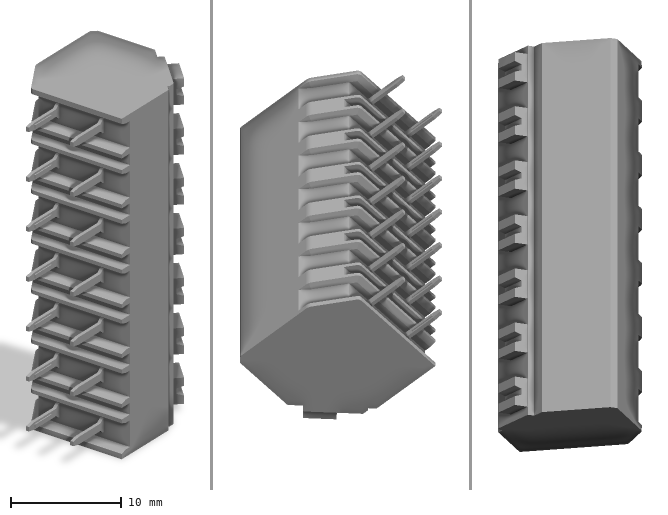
import cadquery as cq
import math

width = 12.7
depth = 12.9
height = 34.68
back_chamfer = 0.52
slope_x = 2.45
slope_y = 4.05
wall_fillet = 1.05
rim_fillet = 0.52
front_chamfer = 5.72

panel_start = 1.42
panel_rise = 0.65
panel_side_gap = 0.38
panel_lip = 0.25

pole_count = 7
pole_pitch = 5.08
core_slope_x = 2.43
core_y = 1.25
core_wall_y = 5.25
pocket_height = 3.12
bevel_width = 0.62
bevel_height = 0.2
groove_height = 1.18

button_length = 3.05
button_offset = 0.07
button_rise = 1.32
button_height = 2.67
notch_mouth = 1.0
notch_floor = 0.55
notch_depth = 0.7

pin_middle_x = 7.1
pin_spacing = 5.0
pin_thickness = 0.35
pin_width = 0.75
pin_root_width = 1.42
pin_root_y = 1.08
pin_neck_y = 0.7
pin_taper_y = -2.65
pin_tip_y = -3.47
pin_tip_width = 0.45
bead_height = 0.35
bead_root_y = -0.1
bead_thickness = 0.1

pole_heights = [(i - (pole_count - 1) / 2) * pole_pitch for i in range(pole_count)]
rib_heights = [(i - pole_count / 2) * pole_pitch for i in range(pole_count + 1)]

diagonal = math.sqrt(0.5)
chamfer_sum = width + depth - front_chamfer
panel_foot = (width - front_chamfer + panel_start * diagonal, depth - panel_start * diagonal)
panel_edge = (panel_foot[0] + panel_rise * diagonal, panel_foot[1] + panel_rise * diagonal)
panel_side_x = width - panel_side_gap
panel_side_y = sum(panel_edge) - panel_side_x
lip_foot_x = panel_side_x - panel_lip * diagonal
lip_foot_y = chamfer_sum - lip_foot_x

upper_outline = [
    (width, depth - front_chamfer),
    (lip_foot_x, lip_foot_y),
    (panel_side_x, lip_foot_y + panel_lip * diagonal),
    (panel_side_x, panel_side_y),
    panel_edge,
    panel_foot,
    (width - front_chamfer, depth),
    (back_chamfer, depth),
    (0, depth - back_chamfer),
]


def prism(points, length, middle_z=0):
    """Extrude an XY outline, centred on the given height."""
    sketch = cq.Workplane("XY").workplane(offset=middle_z - length / 2).polyline(points).close()
    return sketch.extrude(length)


def make_envelope():
    """Full housing outline with the two rounded corners of the rear slope."""
    body = prism([(0, slope_y), (slope_x, 0), (width, 0)] + upper_outline, height)
    body = body.edges(cq.selectors.NearestToPointSelector((0, slope_y, 0))).fillet(wall_fillet)
    return body.edges(cq.selectors.NearestToPointSelector((slope_x, 0, 0))).fillet(rim_fillet)


def make_core():
    """Housing without ribs, with the outline it has at the floor of the pockets."""
    return prism([(0, core_wall_y), (core_slope_x, core_y), (width, core_y)] + upper_outline, height)


def make_rib(middle_z):
    """Rib between two pockets, bevelled toward both; it overshoots the right side and is trimmed later."""
    far_x = width + 2 * bevel_width
    far_y = core_wall_y + 2 * bevel_width
    points = [(0, slope_y), (slope_x, 0), (far_x, 0), (far_x, far_y), (0, far_y)]
    straight = pole_pitch - pocket_height
    rib = prism(points, straight, middle_z)
    taper = math.degrees(math.atan2(bevel_width, bevel_height))
    for direction in (1, -1):
        face = cq.Workplane("XY").workplane(offset=middle_z + direction * straight / 2)
        rib = rib.union(face.polyline(points).close().extrude(direction * bevel_height, taper=taper))
    return rib


def make_groove(middle_z):
    """Groove that splits the rim of a rib in two."""
    groove = cq.Workplane("XY").box(width, core_y, groove_height, centered=(False, False, True))
    return groove.translate((0, 0, middle_z))


def make_button(middle_z):
    """Push button standing on the panel, with a tapered notch along its outer face."""
    offset = button_offset * diagonal
    origin = (panel_edge[0] + offset, panel_edge[1] - offset, middle_z)
    plane = cq.Plane(origin=origin, xDir=(0, 0, 1), normal=(diagonal, -diagonal, 0))
    half = button_height / 2
    outer = -button_rise
    notch_y = outer + notch_depth
    points = [
        (-half, panel_rise),
        (-half, outer),
        (-notch_mouth / 2, outer),
        (-notch_floor / 2, notch_y),
        (notch_floor / 2, notch_y),
        (notch_mouth / 2, outer),
        (half, outer),
        (half, panel_rise),
    ]
    return cq.Workplane(plane).polyline(points).close().extrude(button_length)


def make_pin(side, middle_z):
    """Flat solder pin with a wide root, a tapered tip and a thin bead on its inner face."""
    right_half = [
        (core_y, pin_root_width / 2),
        (pin_root_y, pin_root_width / 2),
        (pin_neck_y, pin_width / 2),
        (pin_taper_y, pin_width / 2),
        (pin_tip_y, pin_tip_width / 2),
    ]
    points = right_half + [(y, -z) for y, z in reversed(right_half)]
    pin_x = pin_middle_x + side * pin_spacing / 2
    left_face = cq.Workplane("YZ").workplane(offset=pin_x - pin_thickness / 2)
    blade = left_face.polyline(points).close().extrude(pin_thickness)
    bead = cq.Workplane("XY").box(pin_thickness, bead_root_y - pin_taper_y, bead_height)
    bead = bead.translate((pin_x - side * bead_thickness, (bead_root_y + pin_taper_y) / 2, 0))
    return blade.union(bead).translate((0, 0, middle_z))


result = make_core()
for z in rib_heights:
    result = result.union(make_rib(z))
result = result.intersect(make_envelope())
for z in rib_heights[1:-1]:
    result = result.cut(make_groove(z))
for z in pole_heights:
    result = result.union(make_button(z))
    for side in (-1, 1):
        result = result.union(make_pin(side, z))